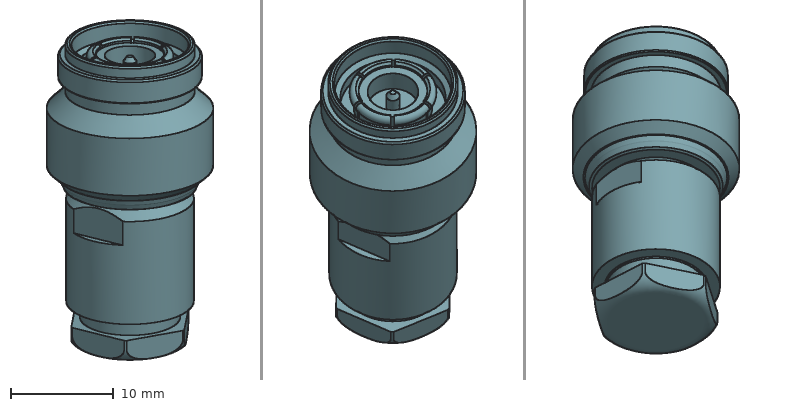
import cadquery as cq
import math

total_height = 31.1
edge_break = 0.2

across_flats = 11.0
nut_corner_radius = 6.28
nut_height = 2.52
nut_rounding = 1.55
neck_radius = 4.88
body_bottom_z = 4.2
neck_flare = 0.12

body_radius = 6.22
body_shoulder_z = 14.93
flat_bottom_z = 12.45

sleeve_diameter = 16.2
sleeve_radius = sleeve_diameter / 2
rim_end_radius = 6.22
rim_base_radius = 6.5
rim_groove_radius = 6.7
rim_step_radius = 6.75
rim_top_radius = 6.9
sleeve_foot_radius = 7.05
sleeve_bottom_z = 16.17
rim_base_z = 16.3
rim_groove_z = 16.8
rim_step_z = 16.9
sleeve_foot_z = 17.42
sleeve_low_z = 18.38
sleeve_high_z = 24.35

collar_radius = 6.3
collar_base_z = 26.1
ring_radius = 7.0
ring_bottom_z = 27.5
ring_top_z = 29.95
ring_lower_break = 0.12

socket_radius = 5.7
socket_seat_radius = 5.13
socket_taper_top_z = 29.25
socket_taper_bottom_z = 28.9
socket_floor_z = 27.65

insulator_radius = 3.33
insulator_bore_radius = 2.45
insulator_top_z = 29.82
pin_radius = 0.65
pin_tip_radius = 0.28
pin_shoulder_z = 29.23
pin_tip_z = 29.73

crown_top_z = 30.25
crown_top_inner_radius = 3.6
crown_outer_radius = 3.83
crown_lead_in = 0.22
bead_bulge = 0.4
bead_height = 1.0
slot_count = 6
slot_width = 0.3


def revolve_profile(profile):
    """Turn a closed radius-height profile drawn on XZ about the Z axis."""
    return profile.close().revolve(360, (0, 0, 0), (0, 1, 0))


def make_nut():
    corner_diameter = across_flats / math.cos(math.pi / 6)
    hexagon = cq.Workplane("XY").polygon(6, corner_diameter).extrude(nut_height)
    envelope = (
        cq.Workplane("XY")
        .circle(nut_corner_radius)
        .extrude(nut_height)
        .faces("<Z")
        .edges()
        .fillet(nut_rounding)
    )
    return hexagon.intersect(envelope)


def make_body():
    top_radius = body_radius - (sleeve_bottom_z - body_shoulder_z)
    body = revolve_profile(
        cq.Workplane("XZ")
        .moveTo(0, nut_height)
        .lineTo(neck_radius, nut_height)
        .lineTo(neck_radius, body_bottom_z - neck_flare)
        .lineTo(neck_radius + neck_flare, body_bottom_z)
        .lineTo(body_radius, body_bottom_z)
        .lineTo(body_radius, body_shoulder_z)
        .lineTo(top_radius, sleeve_bottom_z)
        .lineTo(0, sleeve_bottom_z)
    )
    flat_height = sleeve_bottom_z - flat_bottom_z
    cutter_depth = body_radius
    for side in (-1, 1):
        cutter = cq.Workplane("XY").box(
            2 * body_radius, cutter_depth, flat_height, centered=(True, True, False)
        )
        offset = side * (across_flats + cutter_depth) / 2
        body = body.cut(cutter.translate((0, offset, flat_bottom_z)))
    return body


def make_sleeve_and_collar():
    return revolve_profile(
        cq.Workplane("XZ")
        .moveTo(0, sleeve_bottom_z)
        .lineTo(rim_end_radius, sleeve_bottom_z)
        .lineTo(rim_base_radius, rim_base_z)
        .lineTo(rim_groove_radius, rim_groove_z)
        .lineTo(rim_step_radius, rim_step_z)
        .lineTo(rim_top_radius, sleeve_foot_z)
        .lineTo(sleeve_foot_radius, sleeve_foot_z)
        .lineTo(sleeve_radius, sleeve_low_z)
        .lineTo(sleeve_radius, sleeve_high_z)
        .lineTo(collar_radius, collar_base_z)
        .lineTo(collar_radius, ring_bottom_z)
        .lineTo(ring_radius - ring_lower_break, ring_bottom_z)
        .lineTo(ring_radius, ring_bottom_z + ring_lower_break)
        .lineTo(ring_radius, ring_top_z - edge_break)
        .lineTo(ring_radius - edge_break, ring_top_z)
        .lineTo(collar_radius, ring_top_z)
        .lineTo(collar_radius, total_height - edge_break)
        .lineTo(collar_radius - edge_break, total_height)
        .lineTo(0, total_height)
    )


def make_socket_cavity():
    return revolve_profile(
        cq.Workplane("XZ")
        .moveTo(0, socket_floor_z)
        .lineTo(socket_seat_radius, socket_floor_z)
        .lineTo(socket_seat_radius, socket_taper_bottom_z)
        .lineTo(socket_radius, socket_taper_top_z)
        .lineTo(socket_radius, total_height - edge_break)
        .lineTo(socket_radius + edge_break, total_height)
        .lineTo(0, total_height)
    )


def make_insulator():
    return (
        cq.Workplane("XY", origin=(0, 0, socket_floor_z))
        .circle(insulator_radius)
        .circle(insulator_bore_radius)
        .extrude(insulator_top_z - socket_floor_z)
    )


def make_pin():
    return revolve_profile(
        cq.Workplane("XZ")
        .moveTo(0, socket_floor_z)
        .lineTo(pin_radius, socket_floor_z)
        .lineTo(pin_radius, pin_shoulder_z)
        .lineTo(pin_tip_radius, pin_tip_z)
        .lineTo(0, pin_tip_z)
    )


def make_contact_crown():
    crown = revolve_profile(
        cq.Workplane("XZ")
        .moveTo(insulator_radius, socket_floor_z)
        .lineTo(crown_outer_radius, socket_floor_z)
        .lineTo(crown_outer_radius, crown_top_z - bead_height)
        .threePointArc(
            (crown_outer_radius + bead_bulge, crown_top_z - bead_height / 2),
            (crown_outer_radius, crown_top_z),
        )
        .lineTo(crown_top_inner_radius, crown_top_z)
        .lineTo(insulator_radius, crown_top_z - crown_lead_in)
    )
    slot_length = crown_outer_radius + 2 * bead_bulge
    slot = cq.Workplane("XY", origin=(0, 0, socket_floor_z)).box(
        slot_length, slot_width, crown_top_z - socket_floor_z, centered=(False, True, False)
    )
    for index in range(slot_count):
        crown = crown.cut(slot.rotate((0, 0, 0), (0, 0, 1), index * 360 / slot_count))
    return crown


shell = make_nut().union(make_body()).union(make_sleeve_and_collar()).cut(make_socket_cavity())
result = shell.union(make_insulator()).union(make_pin()).union(make_contact_crown())